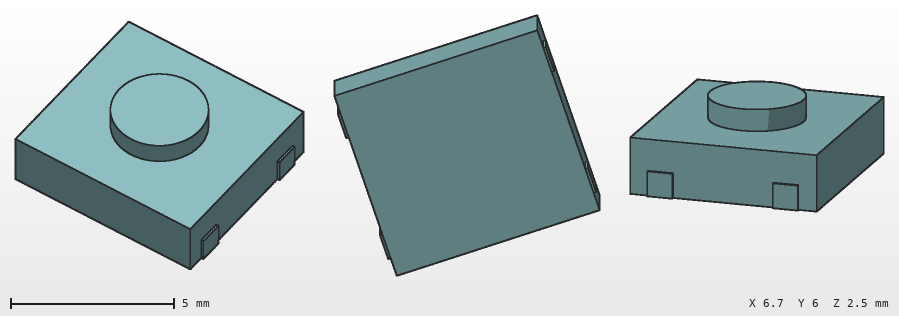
import cadquery as cq

overall_width = 6.7
body_depth = 6.0
overall_height = 2.5

terminal_thickness = 0.08
housing_width = overall_width - 2 * terminal_thickness
housing_height = 1.8
button_diameter = 3.0

terminal_width = 0.8
terminal_height = 0.8
terminal_pitch = 4.035


def make_housing():
    """Plain rectangular housing standing on Z = 0."""
    return cq.Workplane("XY").box(housing_width, body_depth, housing_height, centered=(True, True, False))


def make_button():
    """Round button resting on the top face of the housing."""
    button_height = overall_height - housing_height
    return (
        cq.Workplane("XY")
        .workplane(offset=housing_height)
        .circle(button_diameter / 2)
        .extrude(button_height)
    )


def make_terminal(side_x, side_y):
    """Flat terminal plate lying against one X side of the housing, flush with its underside."""
    center_x = side_x * (housing_width + terminal_thickness) / 2
    center_y = side_y * terminal_pitch / 2
    return (
        cq.Workplane("XY")
        .box(terminal_thickness, terminal_width, terminal_height, centered=(True, True, False))
        .translate((center_x, center_y, 0))
    )


housing = make_housing()
button = make_button()
terminals = []
for side_x in (-1, 1):
    for side_y in (-1, 1):
        terminals.append(make_terminal(side_x, side_y).val())

result = cq.Compound.makeCompound([housing.val(), button.val(), *terminals])